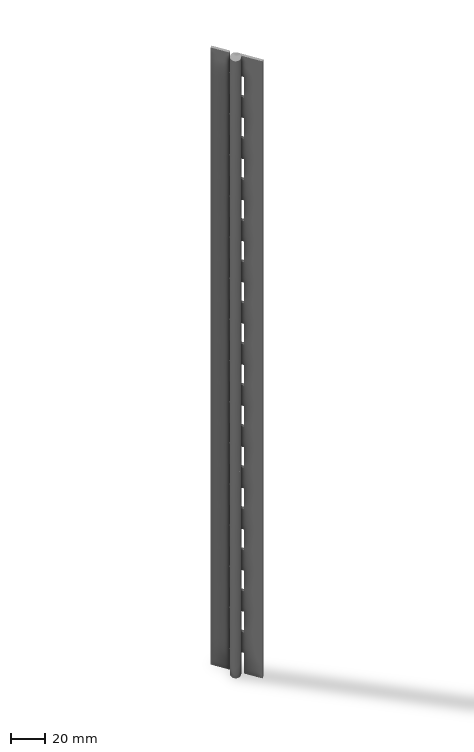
import cadquery as cq

length = 600.0
width = 32.0
barrel_diameter = 6.5
leaf_thickness = 1.5
leaf_gap = 1.0
knuckle_count = 30

barrel_radius = barrel_diameter / 2
pin_radius = barrel_radius - leaf_thickness
knuckle_length = length / knuckle_count
leaf_edge = barrel_radius + leaf_gap
leaf_front = barrel_radius - leaf_thickness


def box(x_min, x_max, y_min, y_max, z_min, height):
    """Axis-aligned box given by its X and Y limits, its base and its height."""
    return (
        cq.Workplane("XY")
        .box(x_max - x_min, y_max - y_min, height, centered=False)
        .translate((x_min, y_min, z_min))
    )


def knuckle(index):
    """One barrel segment and the tangent web that joins it to a leaf on the +X side."""
    base = index * knuckle_length
    barrel = cq.Workplane("XY").workplane(offset=base).circle(barrel_radius).extrude(knuckle_length)
    web = box(0, leaf_edge, leaf_front, barrel_radius, base, knuckle_length)
    return barrel.union(web)


def make_leaf(first_knuckle):
    """Leaf on the +X side that carries every second knuckle, bored for the pin."""
    leaf = box(leaf_edge, width / 2, leaf_front, barrel_radius, 0, length)
    for index in range(first_knuckle, knuckle_count, 2):
        leaf = leaf.union(knuckle(index))
    pin_bore = cq.Workplane("XY").circle(pin_radius).extrude(length)
    return leaf.cut(pin_bore)


def make_pin():
    """Plain round pin running the full length of the barrel."""
    return cq.Workplane("XY").circle(pin_radius).extrude(length)


left_leaf = make_leaf(first_knuckle=0).mirror("YZ")
right_leaf = make_leaf(first_knuckle=1)
pin = make_pin()

result = cq.Compound.makeCompound([left_leaf.val(), right_leaf.val(), pin.val()])